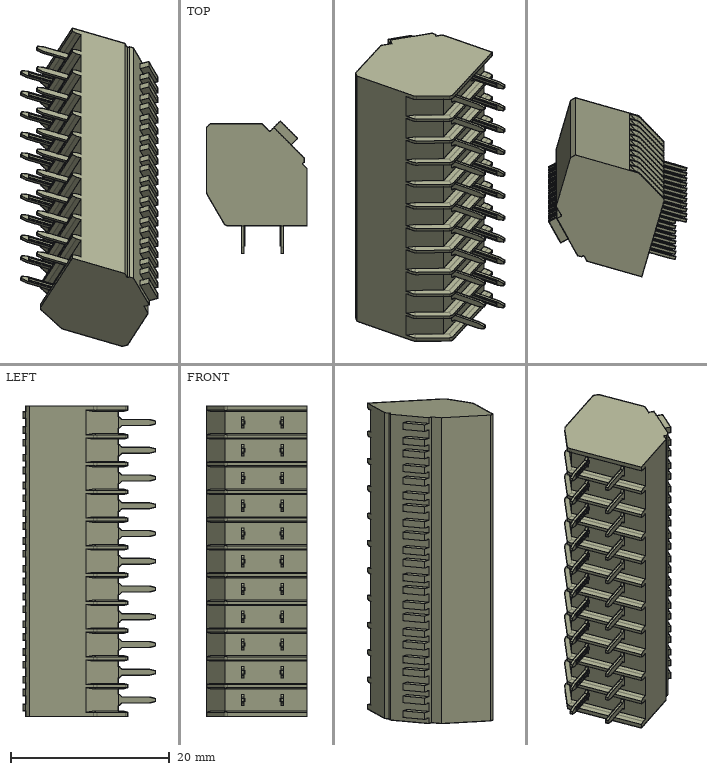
import cadquery as cq
import math

pole_count = 11
pitch = 3.5
end_margin = 0.35
length = pole_count * pitch + 2 * end_margin

width = 12.7
overall_y = 16.72
foot_y = 3.5
back_y = 16.4
back_chamfer = 0.5
slope_foot_x = 2.37
slope_top_y = 7.58
notch_x = 8.0
notch_depth = 1.0
ledge_x = 8.5
ledge_y = back_y - notch_depth + (ledge_x - notch_x)
lip_x = 12.35
lip_end_y = 11.5
lip_undercut = 0.25
shoulder_y = 10.72

recess_depth = 1.2
rib_root_width = 0.7
rib_tip_width = 0.4
rib_bevel_depth = 0.55
foot_corner_radius = 0.55
slope_corner_radius = 0.85

button_length = 3.1
button_height = (overall_y - ledge_y) * math.sqrt(2)
button_width = 0.84
button_spacing = 1.9
button_root = 0.3

pin_left_x = 4.4
pin_row_spacing = 5.35
pin_thickness = 0.36
pin_width = 0.8
pin_tip_width = 0.4
pin_taper_length = 0.8
pin_neck_y = 4.25
pin_neck_width = 1.42
pin_root_y = 5.2
bead_height = 0.1
bead_width = 0.4
bead_start_y = 0.95


def prism(points, z_start, height):
    return cq.Workplane("XY").workplane(offset=z_start).polyline(points).close().extrude(height)


def housing_points(lift):
    """Outline whose foot and sloping side are moved by lift towards +Y."""
    lip_top_y = ledge_y - (lip_x - ledge_x)
    undercut_x = lip_x - lip_undercut
    undercut_y = shoulder_y + (width - undercut_x)
    return [
        (slope_foot_x, foot_y + lift),
        (width, foot_y + lift),
        (width, shoulder_y),
        (undercut_x, undercut_y),
        (lip_x, lip_end_y),
        (lip_x, lip_top_y),
        (ledge_x, ledge_y),
        (notch_x, back_y - notch_depth),
        (notch_x - notch_depth, back_y),
        (back_chamfer, back_y),
        (0, back_y - back_chamfer),
        (0, slope_top_y + lift),
    ]


def rib_points(inset):
    """Rib outline with the foot, sloping and -X sides moved inwards by inset."""
    slope_angle = math.atan2(slope_top_y - foot_y, slope_foot_x)
    slope_lift = inset / math.cos(slope_angle)
    foot_x = slope_foot_x + (slope_lift - inset) / math.tan(slope_angle)
    slope_end_y = slope_top_y + slope_lift - inset * math.tan(slope_angle)
    return [
        (foot_x, foot_y + inset),
        (width, foot_y + inset),
        (width, shoulder_y),
        (inset, shoulder_y),
        (inset, slope_end_y),
    ]


def rib_bevel(z_tip, z_root):
    """Flank of a rib, from the full outline at z_tip to the inset one at z_root."""
    return (
        cq.Workplane("XY")
        .workplane(offset=z_tip)
        .polyline(rib_points(0))
        .close()
        .workplane(offset=z_root - z_tip)
        .polyline(rib_points(rib_bevel_depth))
        .close()
        .loft(ruled=True)
    )


def make_ribs():
    """End ribs are flush outside; each flank facing a recess is bevelled."""
    half_root = rib_root_width / 2
    half_tip = rib_tip_width / 2
    ribs = []
    for index in range(pole_count + 1):
        z_center = end_margin + index * pitch
        tip_low = 0
        tip_high = length
        if index > 0:
            tip_low = z_center - half_tip
            ribs.append(rib_bevel(tip_low, z_center - half_root).val())
        if index < pole_count:
            tip_high = z_center + half_tip
            ribs.append(rib_bevel(tip_high, z_center + half_root).val())
        ribs.append(prism(rib_points(0), tip_low, tip_high - tip_low).val())
    return ribs


def make_housing():
    envelope = prism(housing_points(0), 0, length)
    foot_edge = cq.selectors.NearestToPointSelector((slope_foot_x, foot_y, length / 2))
    slope_edge = cq.selectors.NearestToPointSelector((0, slope_top_y, length / 2))
    envelope = envelope.edges(foot_edge).fillet(foot_corner_radius)
    envelope = envelope.edges(slope_edge).fillet(slope_corner_radius)
    core = prism(housing_points(recess_depth), 0, length).val()
    return core.fuse(*make_ribs()).intersect(envelope.val())


def make_button():
    face = cq.Plane(origin=(ledge_x, ledge_y, 0), xDir=(1, -1, 0), normal=(0, 0, 1))
    return (
        cq.Workplane(face)
        .center(button_length / 2, (button_height - button_root) / 2)
        .rect(button_length, button_height + button_root)
        .extrude(button_width / 2, both=True)
        .val()
    )


def make_pin(x_outer, inward):
    """Flat pin from its outer face at x_outer; inward is +1 or -1 along X."""
    neck_top_y = pin_neck_y + (pin_neck_width - pin_width) / 2
    half_outline = [
        (0, pin_tip_width / 2),
        (pin_taper_length, pin_width / 2),
        (pin_neck_y, pin_width / 2),
        (neck_top_y, pin_neck_width / 2),
        (pin_root_y, pin_neck_width / 2),
    ]
    outline = half_outline + [(y, -z) for y, z in reversed(half_outline)]
    plane = cq.Plane(origin=(x_outer, 0, 0), xDir=(0, 1, 0), normal=(1, 0, 0))
    blade = cq.Workplane(plane).polyline(outline).close().extrude(inward * pin_thickness)
    bead = (
        cq.Workplane(plane)
        .center((bead_start_y + pin_root_y) / 2, 0)
        .rect(pin_root_y - bead_start_y, bead_width)
        .extrude(inward * (pin_thickness + bead_height))
    )
    return blade.union(bead).val()


def make_pole_parts():
    button = make_button()
    left_pin = make_pin(pin_left_x, 1)
    right_pin = make_pin(pin_left_x + pin_row_spacing, -1)
    parts = []
    for index in range(pole_count):
        z_center = end_margin + (index + 0.5) * pitch
        for side in (-1, 1):
            button_z = z_center + side * button_spacing / 2
            parts.append(button.translate(cq.Vector(0, 0, button_z)))
        for pin in (left_pin, right_pin):
            parts.append(pin.translate(cq.Vector(0, 0, z_center)))
    return parts


assembled = make_housing().fuse(*make_pole_parts()).clean()
result = cq.Workplane("XY").newObject(assembled.Solids())